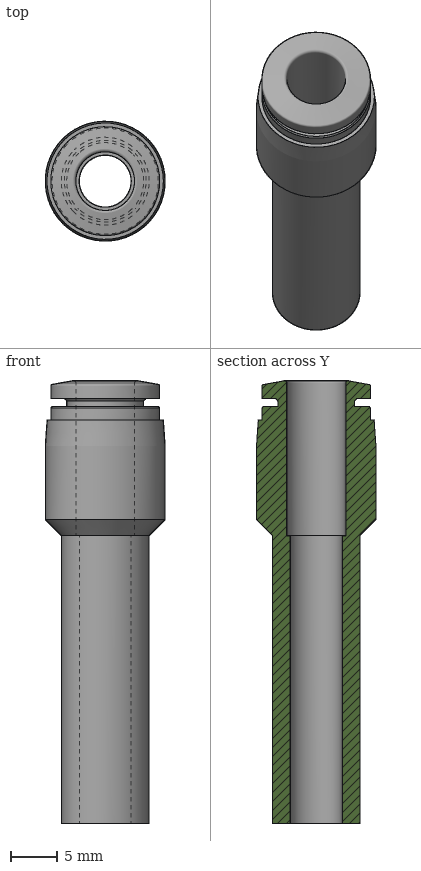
import cadquery as cq

total_length = 48.0

stem_diameter = 9.53
body_diameter = 13.0
stem_length = 31.2
body_cone_height = (body_diameter - stem_diameter) / 2
taper_start_z = 40.9
taper_top_z = 43.75
taper_top_diameter = 12.6

collar_diameter = 11.8
collar_top_z = 45.2
collar_chamfer = 0.15
neck_diameter = 8.35
neck_flare = 0.25
cap_diameter = collar_diameter
cap_bottom_z = 46.05
cap_cone_drop = 0.4
cap_edge_radius = 0.2

tube_bore_diameter = 6.35
through_bore_diameter = 5.6
mouth_diameter = 6.95
mouth_radius = (mouth_diameter - tube_bore_diameter) / 2
tube_stop_z = stem_length


def make_body():
    """Stem, conical shoulder, tapered body and chamfered collar, turned about Z."""
    body_radius = body_diameter / 2
    stem_radius = stem_diameter / 2
    collar_radius = collar_diameter / 2
    return (
        cq.Workplane("XZ")
        .moveTo(0, 0)
        .lineTo(stem_radius, 0)
        .lineTo(stem_radius, stem_length)
        .lineTo(body_radius, stem_length + body_cone_height)
        .lineTo(body_radius, taper_start_z)
        .lineTo(taper_top_diameter / 2, taper_top_z)
        .lineTo(collar_radius, taper_top_z)
        .lineTo(collar_radius, collar_top_z - collar_chamfer)
        .lineTo(collar_radius - collar_chamfer, collar_top_z)
        .lineTo(0, collar_top_z)
        .close()
        .revolve(360, (0, 0), (0, 1))
    )


def make_release_cap():
    """Neck with a flared top, carrying a rounded cap with a shallow conical face."""
    neck_radius = neck_diameter / 2
    cap_radius = cap_diameter / 2
    cone_base_z = total_length - cap_cone_drop
    return (
        cq.Workplane("XZ")
        .moveTo(0, taper_top_z)
        .lineTo(neck_radius, taper_top_z)
        .lineTo(neck_radius, cap_bottom_z - neck_flare)
        .lineTo(neck_radius + neck_flare, cap_bottom_z)
        .lineTo(cap_radius, cap_bottom_z)
        .lineTo(cap_radius, cone_base_z - cap_edge_radius)
        .radiusArc((cap_radius - cap_edge_radius, cone_base_z), -cap_edge_radius)
        .lineTo(mouth_diameter / 2, total_length)
        .lineTo(0, total_length)
        .close()
        .revolve(360, (0, 0), (0, 1))
    )


def make_bore():
    """Stepped bore: rounded lead-in, tube socket, then a narrower through hole."""
    tube_radius = tube_bore_diameter / 2
    through_radius = through_bore_diameter / 2
    return (
        cq.Workplane("XZ")
        .moveTo(0, 0)
        .lineTo(through_radius, 0)
        .lineTo(through_radius, tube_stop_z)
        .lineTo(tube_radius, tube_stop_z)
        .lineTo(tube_radius, total_length - mouth_radius)
        .radiusArc((mouth_diameter / 2, total_length), mouth_radius)
        .lineTo(0, total_length)
        .close()
        .revolve(360, (0, 0), (0, 1))
    )


result = make_body().union(make_release_cap()).cut(make_bore())